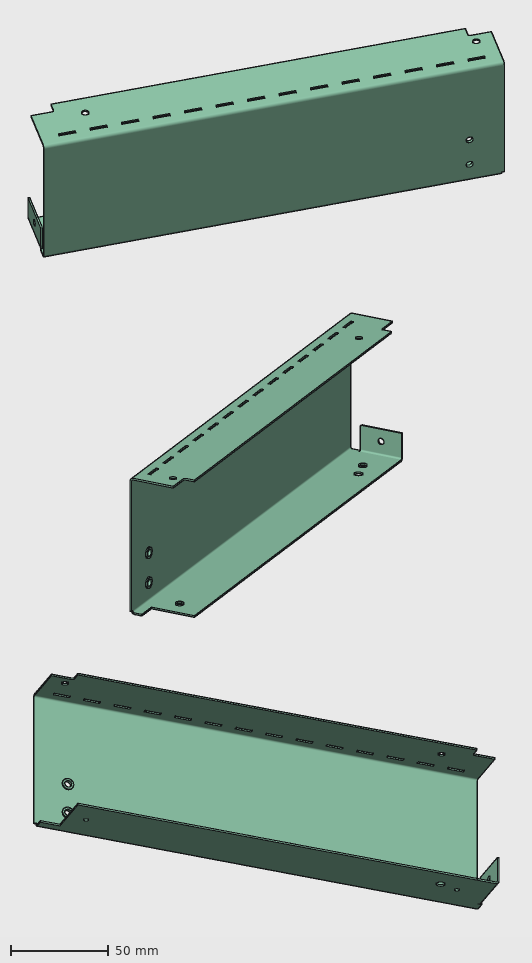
import cadquery as cq

width = 31.0
length = 246.3
height = 76.8
sheet = 1.0
inner_bend = 1.0
outer_bend = inner_bend + sheet
web_inner = width - sheet
flange_split = height / 2

top_notch_width = 6.0
top_notch_length = 12.3
corner_radius = 1.0

bottom_notch_width = 24.9
bottom_notch_length = 12.3
back_relief = 1.5

tab_width = 24.1
tab_height = 15.5
tab_hole_x = tab_width / 2
tab_hole_z = 8.5
tab_hole_diameter = 3.5

flange_hole_x = 11.0
top_hole_diameter = 3.7
top_hole_positions = (27.5, length - 9.5)
bottom_hole_y = 28.0
bottom_hole_diameter = 4.7

slot_count = 14
slot_width = 1.5
slot_length = 8.9
slot_x = 24.1
first_slot_y = 14.3
last_slot_y = length - 13.0
slot_pitch = (last_slot_y - first_slot_y) / (slot_count - 1)

collar_rise = 0.7
web_collar_y = length - 18.7
web_collar_heights = (11.3, 28.0)
web_collar_diameter = 6.2
web_bore_diameter = 3.7
floor_collar_x = 13.8
floor_collar_positions = (18.0, length - 22.5)
floor_collar_diameter = 4.5
floor_bore_diameter = 2.5


def box(x_range, y_range, z_range):
    """Box between two limits on each axis."""
    (x0, x1), (y0, y1), (z0, z1) = x_range, y_range, z_range
    return cq.Workplane("XY").box(x1 - x0, y1 - y0, z1 - z0, centered=False).translate((x0, y0, z0))


def rod_x(y, z, diameter, x_range):
    """Cylinder along X."""
    x0, x1 = x_range
    return cq.Workplane("YZ", origin=(x0, y, z)).circle(diameter / 2).extrude(x1 - x0)


def rod_y(x, z, diameter, y_range):
    """Cylinder along Y."""
    y0, y1 = y_range
    return cq.Workplane("XZ", origin=(x, y0, z)).circle(diameter / 2).extrude(y0 - y1)


def rod_z(x, y, diameter, z_range):
    """Cylinder along Z."""
    z0, z1 = z_range
    return cq.Workplane("XY", origin=(x, y, z0)).circle(diameter / 2).extrude(z1 - z0)


def channel():
    """Bent C-section running the full length."""
    full_length = (0, length)
    outer = box((0, width), full_length, (0, height))
    inner = box((0, web_inner), full_length, (sheet, height - sheet))
    return outer.edges("|Y and >X").fillet(outer_bend).cut(inner.edges("|Y and >X").fillet(inner_bend))


def top_notches():
    """Corner cut-outs of the top flange, each with a rounded inner corner."""
    x_range = (0, top_notch_width)
    z_range = (flange_split, height)
    front = box(x_range, (0, top_notch_length), z_range)
    back = box(x_range, (length - top_notch_length, length), z_range)
    front = front.edges("|Z and >X and >Y").fillet(corner_radius)
    back = back.edges("|Z and >X and <Y").fillet(corner_radius)
    return front.union(back)


def bottom_cutouts():
    """Back corner cut-out of the bottom flange and the relief behind its bend."""
    notch = box((0, bottom_notch_width), (length - bottom_notch_length, length), (0, flange_split))
    back = box((0, width), (length - back_relief, length), (0, outer_bend))
    return notch.union(back)


def tab():
    """Upturned tab with its bend and a short foot that joins the bottom flange."""
    x_range = (0, tab_width)
    foot_end = 2 * outer_bend
    outer = box(x_range, (0, foot_end), (0, tab_height)).edges("|X and <Y and <Z").fillet(outer_bend)
    inner = box(x_range, (sheet, foot_end), (sheet, tab_height)).edges("|X and <Y and <Z").fillet(inner_bend)
    bent = outer.cut(inner).edges("|Y and >X and >Z").fillet(corner_radius)
    return bent.cut(rod_y(tab_hole_x, tab_hole_z, tab_hole_diameter, (0, sheet)))


def top_slots():
    """Evenly spaced slots, long side along Y."""
    centers = [(slot_x, first_slot_y + i * slot_pitch) for i in range(slot_count)]
    plane = cq.Workplane("XY", origin=(0, 0, height - sheet))
    return plane.pushPoints(centers).rect(slot_width, slot_length).extrude(sheet)


def add_collared_holes(body):
    """Raise a collar around each collared hole, then bore through it."""
    collar_x = (web_inner - collar_rise, web_inner)
    for z in web_collar_heights:
        body = body.union(rod_x(web_collar_y, z, web_collar_diameter, collar_x))
        body = body.cut(rod_x(web_collar_y, z, web_bore_diameter, (collar_x[0], width)))
    collar_top = sheet + collar_rise
    for y in floor_collar_positions:
        body = body.union(rod_z(floor_collar_x, y, floor_collar_diameter, (sheet, collar_top)))
        body = body.cut(rod_z(floor_collar_x, y, floor_bore_diameter, (0, collar_top)))
    return body


result = channel().cut(top_notches()).cut(bottom_cutouts())

tab_bend_zone = box((0, tab_width), (0, outer_bend), (0, sheet))
result = result.cut(tab_bend_zone).union(tab())

result = result.cut(top_slots())
for hole_y in top_hole_positions:
    result = result.cut(rod_z(flange_hole_x, hole_y, top_hole_diameter, (height - sheet, height)))
result = result.cut(rod_z(flange_hole_x, bottom_hole_y, bottom_hole_diameter, (0, sheet)))
result = add_collared_holes(result)